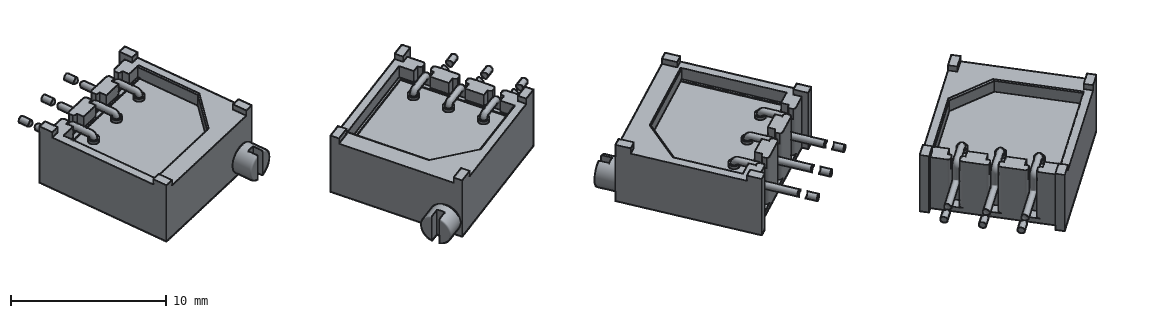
import cadquery as cq
import math

HOUSING_LENGTH = 10.0
HOUSING_WIDTH = 9.55
HOUSING_HEIGHT = 4.83
POST_RISE = 0.45
POST_OVERHANG = 0.43
LEFT_POST_LENGTH = 1.01
RIGHT_POST_LENGTH = 1.05
POST_WIDTH = 0.62
BLOCK_TOP = HOUSING_HEIGHT - POST_RISE
BLOCK_LEFT = POST_OVERHANG

RECESS_LEFT = 1.49
RECESS_RIGHT = 8.73
RECESS_SIDE = 4.2
RECESS_CORNER = 2.45
RIM_RIGHT = 0.06
RIM_BACK = 0.09
RIM_DEPTH = 0.1
FLOOR_Z = 3.36
LEFT_SHELF_WIDTH = 0.14
FRONT_SHELF_WIDTH = 0.17
SHELF_Z = 3.43

PIN_PITCH = 2.54
PIN_ROWS = (-PIN_PITCH, 0, PIN_PITCH)
PIN_RADIUS = 0.25
PIN_BEND = 0.29
PIN_LOW_Z = 2.3
PIN_HIGH_Z = 3.84
PIN_RISER_X = 0.85
PIN_DROP_X = 2.69
PIN_BREAK_X = -1.82
STUB_BREAK_X = -2.26
STUB_END_X = -3.05
BREAK_DEPTH = 0.1
COLLAR_RADIUS = 0.37
COLLAR_TOP = 3.6

SLOT_BOTTOM = 0.41
LIP_RADIUS = 0.27
LIP_GAP = 0.245
LIP_TRIM = 0.29
LIP_TRIM_Z = 3.52
LIP_BACK = BLOCK_LEFT + 2 * LIP_RADIUS
CHANNEL_BACK = 1.13
CHANNEL_SIDE = 0.59
SADDLE_RADIUS = RECESS_LEFT - CHANNEL_BACK

SCREW_RADIUS = 1.1
SCREW_LENGTH = 1.5
SCREW_Y = 3.61
SCREW_Z = 1.25
SCREW_FILLET = 0.13
SCREW_SLOT_WIDTH = 0.56
SCREW_SLOT_DEPTH = 0.76


def box(x_range, y_range, z_range):
    """Axis-aligned box spanning the three ranges."""
    (x0, x1), (y0, y1), (z0, z1) = x_range, y_range, z_range
    return cq.Workplane("XY").box(x1 - x0, y1 - y0, z1 - z0, centered=False).translate((x0, y0, z0))


def make_block():
    """Solid block plus its four corner posts."""
    half = HOUSING_WIDTH / 2
    block = box((BLOCK_LEFT, HOUSING_LENGTH), (-half, half), (0, BLOCK_TOP))
    post_spans = ((0, LEFT_POST_LENGTH), (HOUSING_LENGTH - RIGHT_POST_LENGTH, HOUSING_LENGTH))
    for span in post_spans:
        for y in (-half, half - POST_WIDTH):
            block = block.union(box(span, (y, y + POST_WIDTH), (0, HOUSING_HEIGHT)))
    return block


def recess_outline(left, right, front, back, z):
    """Rectangle with the right back corner clipped, drawn at height z."""
    points = [
        (left, front),
        (right, front),
        (right, back - RECESS_CORNER),
        (right - RECESS_CORNER, back),
        (left, back),
    ]
    return cq.Workplane("XY", origin=(0, 0, z)).polyline(points).close()


def make_recess():
    """Recess volume: a straight-walled pocket under a bevelled rim, less the shelves."""
    left = RECESS_LEFT
    right = RECESS_RIGHT - RIM_RIGHT
    front = -RECESS_SIDE
    back = RECESS_SIDE - RIM_BACK
    rim_z = BLOCK_TOP - RIM_DEPTH
    pocket = recess_outline(left, right, front, back, FLOOR_Z).extrude(rim_z - FLOOR_Z)
    lower = recess_outline(left, right, front, back, rim_z)
    upper = recess_outline(left, RECESS_RIGHT, front, RECESS_SIDE, BLOCK_TOP)
    rim = cq.Solid.makeLoft([lower.wire().val(), upper.wire().val()], True)
    shelf_span = (FLOOR_Z, SHELF_Z)
    left_shelf = box((left, left + LEFT_SHELF_WIDTH), (front, back), shelf_span)
    front_shelf = box((left, right), (front, front + FRONT_SHELF_WIDTH), shelf_span)
    return pocket.union(cq.Workplane(obj=rim)).cut(left_shelf).cut(front_shelf)


def make_slot():
    """Slot volume for a pin at Y = 0."""
    lip_middle = BLOCK_LEFT + LIP_RADIUS
    lip_side = LIP_GAP + LIP_RADIUS
    throat = (
        cq.Workplane("XY", origin=(0, 0, SLOT_BOTTOM))
        .moveTo(BLOCK_LEFT, -lip_side)
        .threePointArc((lip_middle, -LIP_GAP), (LIP_BACK, -lip_side))
        .lineTo(LIP_BACK, lip_side)
        .threePointArc((lip_middle, LIP_GAP), (BLOCK_LEFT, lip_side))
        .close()
        .extrude(BLOCK_TOP - SLOT_BOTTOM)
    )
    trim = box((BLOCK_LEFT, LIP_BACK), (-LIP_TRIM, LIP_TRIM), (LIP_TRIM_Z, BLOCK_TOP))
    bend = SADDLE_RADIUS * (1 - math.sqrt(0.5))
    channel = (
        cq.Workplane("XZ")
        .moveTo(LIP_BACK, SLOT_BOTTOM)
        .lineTo(CHANNEL_BACK, SLOT_BOTTOM)
        .lineTo(CHANNEL_BACK, SHELF_Z - SADDLE_RADIUS)
        .threePointArc((CHANNEL_BACK + bend, SHELF_Z - bend), (RECESS_LEFT, SHELF_Z))
        .lineTo(RECESS_LEFT, BLOCK_TOP)
        .lineTo(LIP_BACK, BLOCK_TOP)
        .close()
        .extrude(CHANNEL_SIDE, both=True)
    )
    return throat.union(trim).union(channel)


def make_break(tip_x, direction):
    """Cylinder that hollows a pin end whose tips reach tip_x, facing along direction."""
    radius = (PIN_RADIUS**2 + BREAK_DEPTH**2) / (2 * BREAK_DEPTH)
    axis_x = tip_x + direction * (radius - BREAK_DEPTH)
    half_length = 2 * PIN_RADIUS
    start = cq.Vector(axis_x, -half_length, PIN_LOW_Z - half_length)
    length = 2 * math.sqrt(2) * half_length
    return cq.Workplane(obj=cq.Solid.makeCylinder(radius, length, start, cq.Vector(0, 1, 1)))


def make_pin():
    """Bent pin at Y = 0, from its broken end to the housing floor, with its collar."""
    bend = PIN_BEND * (1 - math.sqrt(0.5))
    path = (
        cq.Workplane("XZ")
        .moveTo(PIN_BREAK_X, PIN_LOW_Z)
        .lineTo(PIN_RISER_X - PIN_BEND, PIN_LOW_Z)
        .threePointArc((PIN_RISER_X - bend, PIN_LOW_Z + bend), (PIN_RISER_X, PIN_LOW_Z + PIN_BEND))
        .lineTo(PIN_RISER_X, PIN_HIGH_Z - PIN_BEND)
        .threePointArc((PIN_RISER_X + bend, PIN_HIGH_Z - bend), (PIN_RISER_X + PIN_BEND, PIN_HIGH_Z))
        .lineTo(PIN_DROP_X - PIN_BEND, PIN_HIGH_Z)
        .threePointArc((PIN_DROP_X - bend, PIN_HIGH_Z - bend), (PIN_DROP_X, PIN_HIGH_Z - PIN_BEND))
        .lineTo(PIN_DROP_X, FLOOR_Z)
    )
    pin = cq.Workplane("YZ", origin=(PIN_BREAK_X, 0, PIN_LOW_Z)).circle(PIN_RADIUS).sweep(path)
    pin = pin.cut(make_break(PIN_BREAK_X, -1))
    collar = (
        cq.Workplane("XY", origin=(PIN_DROP_X, 0, FLOOR_Z))
        .circle(COLLAR_RADIUS)
        .extrude(COLLAR_TOP - FLOOR_Z)
    )
    return pin.union(collar)


def make_stub():
    """Detached pin end at Y = 0, beyond the break."""
    stub = (
        cq.Workplane("YZ", origin=(STUB_END_X, 0, PIN_LOW_Z))
        .circle(PIN_RADIUS)
        .extrude(STUB_BREAK_X - STUB_END_X)
    )
    return stub.cut(make_break(STUB_BREAK_X, 1))


def make_screw():
    """Slotted screw head on the right face."""
    head = (
        cq.Workplane("YZ", origin=(HOUSING_LENGTH, SCREW_Y, SCREW_Z))
        .circle(SCREW_RADIUS)
        .extrude(SCREW_LENGTH)
        .faces("<X or >X")
        .edges()
        .fillet(SCREW_FILLET)
    )
    end_x = HOUSING_LENGTH + SCREW_LENGTH
    slot = box(
        (end_x - SCREW_SLOT_DEPTH, end_x),
        (SCREW_Y - SCREW_SLOT_WIDTH / 2, SCREW_Y + SCREW_SLOT_WIDTH / 2),
        (SCREW_Z - SCREW_RADIUS, SCREW_Z + SCREW_RADIUS),
    )
    return head.cut(slot)


trimmer = make_block().cut(make_recess())
for row in PIN_ROWS:
    trimmer = trimmer.cut(make_slot().translate((0, row, 0)))
for row in PIN_ROWS:
    trimmer = trimmer.union(make_pin().translate((0, row, 0)))
trimmer = trimmer.union(make_screw())

stubs = [make_stub().translate((0, row, 0)) for row in PIN_ROWS]

result = cq.Compound.makeCompound([trimmer.val(), *[stub.val() for stub in stubs]])